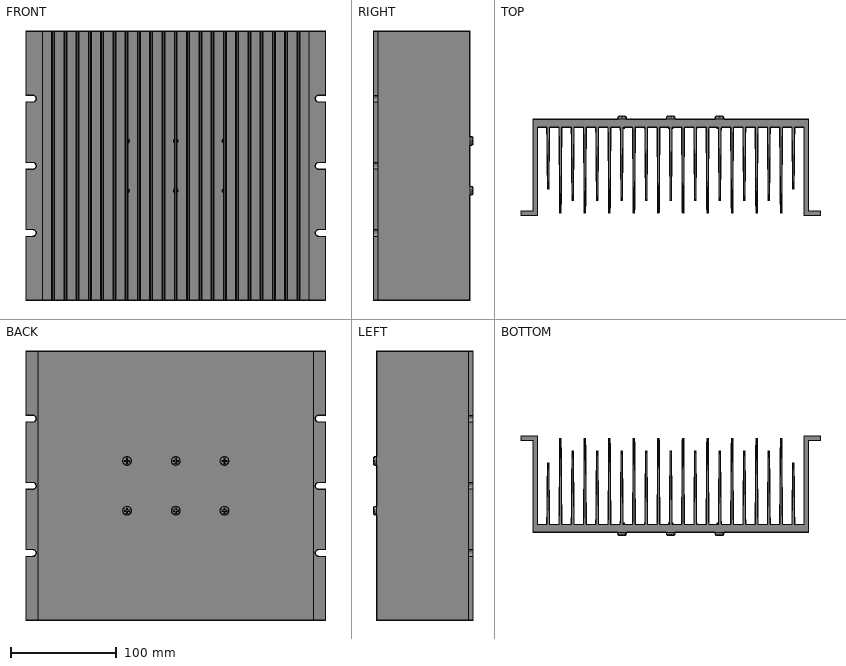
import cadquery as cq

overall_width = 283.0
overall_depth = 94.2
length = 254.0
head_height = 3.0
channel_depth = overall_depth - head_height

channel_width = 260.3
wall_thickness = 4.5
flange_thickness = 4.5
base_thickness = 7.5
base_inner_y = channel_depth - base_thickness

fin_count = 21
fin_span = 231.5
fin_pitch = fin_span / (fin_count - 1)
fin_root_width = 2.8
fin_tip_width = 1.5
long_fin_tip_y = 2.5
short_fin_tip_y = 14.1
end_fin_tip_y = 25.5

slot_spacing = 63.5
slot_width = 6.2
slot_depth = 9.5

screw_column_span = 92.0
screw_row_spacing = 47.0
shank_diameter = 4.2
head_diameter = 8.2
head_edge_radius = 2.0
recess_span = 5.0
recess_width = 1.0
recess_depth = 1.5
tip_protrusion = 1.0

screw_places = [
    (column * screw_column_span / 2, row * screw_row_spacing / 2)
    for column in (-1, 0, 1)
    for row in (-1, 1)
]


def extrude_along_z(points):
    """Closed XY outline extruded over the full length, centred on Z = 0."""
    return cq.Workplane("XY").polyline(points).close().extrude(length / 2, both=True)


def make_channel():
    """Base, side walls and flanges as one constant cross-section."""
    outer_x = channel_width / 2
    inner_x = outer_x - wall_thickness
    flange_x = overall_width / 2
    right_half = [
        (inner_x, base_inner_y),
        (inner_x, 0),
        (flange_x, 0),
        (flange_x, flange_thickness),
        (outer_x, flange_thickness),
        (outer_x, channel_depth),
    ]
    left_half = [(-x, y) for x, y in reversed(right_half)]
    return extrude_along_z(right_half + left_half)


def fin_tip_y(index):
    """Fins alternate short and long, with the shortest at both ends."""
    if index in (0, fin_count - 1):
        return end_fin_tip_y
    return long_fin_tip_y if index % 2 else short_fin_tip_y


def make_fin(index):
    """One fin tapering from root to tip, its root set halfway into the base."""
    x = index * fin_pitch - fin_span / 2
    root = fin_root_width / 2
    tip = fin_tip_width / 2
    tip_y = fin_tip_y(index)
    embedded_y = base_inner_y + base_thickness / 2
    return extrude_along_z([
        (x - root, embedded_y),
        (x - root, base_inner_y),
        (x - tip, tip_y),
        (x + tip, tip_y),
        (x + root, base_inner_y),
        (x + root, embedded_y),
    ])


def make_slot(side, z):
    """Cutter for one round-ended slot, open at the flange edge on the given side."""
    slot_length = 2 * slot_depth
    return (
        cq.Workplane("XZ", origin=(side * overall_width / 2, 0, z))
        .slot2D(slot_length, slot_width)
        .extrude(-flange_thickness)
    )


def make_shank(x, z):
    """Screw shank from the underside of the head to just past the inner base face."""
    return (
        cq.Workplane("XZ", origin=(x, channel_depth, z))
        .circle(shank_diameter / 2)
        .extrude(base_thickness + tip_protrusion)
    )


def make_heat_sink():
    """Finned channel with its mounting slots and screw holes."""
    body = make_channel()
    for index in range(fin_count):
        body = body.union(make_fin(index))
    for side in (-1, 1):
        for row in (-1, 0, 1):
            body = body.cut(make_slot(side, row * slot_spacing))
    for x, z in screw_places:
        body = body.cut(make_shank(x, z))
    return body


def make_head(x, z):
    """Pan head with a rounded crown and a cross recess."""
    head = (
        cq.Workplane("XZ", origin=(x, channel_depth, z))
        .circle(head_diameter / 2)
        .extrude(-head_height)
        .faces(">Y")
        .edges()
        .fillet(head_edge_radius)
    )
    recess_face = cq.Workplane("XZ", origin=(x, overall_depth, z))
    for span_x, span_z in ((recess_span, recess_width), (recess_width, recess_span)):
        head = head.cut(recess_face.rect(span_x, span_z).extrude(recess_depth))
    return head


def make_screw(x, z):
    """Screw with its head seated on the outer base face."""
    return make_head(x, z).union(make_shank(x, z))


heat_sink = make_heat_sink()
screws = [make_screw(x, z) for x, z in screw_places]
result = cq.Compound.makeCompound([heat_sink.val(), *[screw.val() for screw in screws]])